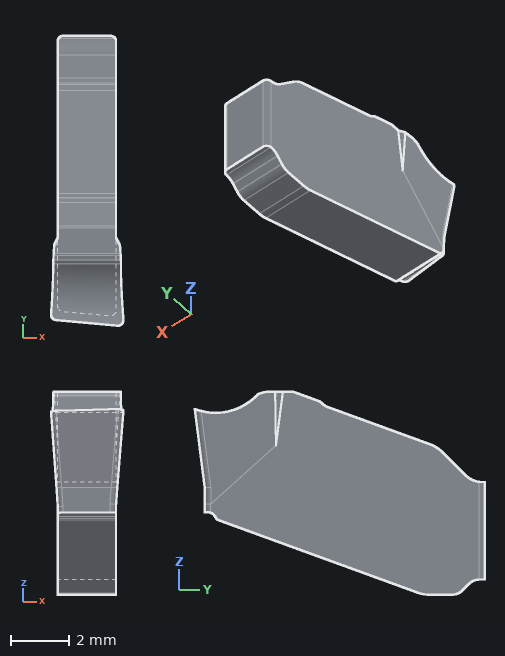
import cadquery as cq
import math


LENGTH = 10.0
HEIGHT = 7.0
BODY_WIDTH = 2.02
SPAN = 20.0

FLANK_SLOPE = 20.0
RAMP_SLOPE = 45.0
BLEND_SLOPE = 32.5
BACK_TOP_Z = 3.89
BACK_BOTTOM_Z = 0.52
BACK_CORNER_RADIUS = 0.2

FRONT_TURN = 5.0
FRONT_LEAN = 6.78
KNEE_Y = 0.415
KNEE_Z = 3.7
FRONT_CORNER_RADIUS = 0.2

FLARE_Y = 2.8
FLARE_Z = 5.15
LEFT_RELIEF_TILT = 45.0
LEFT_RELIEF_ANGLE = 5.25
RIGHT_RELIEF_TILT = 48.0
RIGHT_RELIEF_ANGLE = 5.55
SHOULDER_TILT = 7.4
SHOULDER_ANGLE = 27.0


def tan(degrees):
    return math.tan(math.radians(degrees))


def meet(point_a, slope_a, point_b, slope_b):
    """Crossing of two lines in the YZ plane; a slope is dz/dy."""
    y = (point_b[1] - point_a[1] + slope_a * point_a[0] - slope_b * point_b[0]) / (slope_a - slope_b)
    return y, point_a[1] + slope_a * (y - point_a[0])


def rounded_prism(corners):
    """Extrude, across X, a YZ polygon given as (point, corner radius) pairs."""
    sketch = cq.Workplane("YZ")
    for index, (corner, radius) in enumerate(corners):
        here = cq.Vector(*corner)
        if radius == 0:
            start = end = middle = here
        else:
            before = (cq.Vector(*corners[index - 1][0]) - here).normalized()
            after = (cq.Vector(*corners[(index + 1) % len(corners)][0]) - here).normalized()
            half_angle = before.getAngle(after) / 2
            setback = radius / math.tan(half_angle)
            to_arc = radius / math.sin(half_angle) - radius
            start = here + before * setback
            end = here + after * setback
            middle = here + (before + after).normalized() * to_arc
        if index == 0:
            sketch = sketch.moveTo(start.x, start.y)
        else:
            sketch = sketch.lineTo(start.x, start.y)
        if radius > 0:
            sketch = sketch.threePointArc((middle.x, middle.y), (end.x, end.y))
    return sketch.close().extrude(SPAN / 2, both=True)


def side_outline():
    """Prism with the full side outline; its front end runs past the front faces."""
    flank = tan(FLANK_SLOPE)
    ramp = tan(RAMP_SLOPE)
    front_y = -1.0

    ramp_foot_radius = 0.8
    blend_radius = 1.0
    ramp_foot = (9.57, BACK_TOP_Z)
    ramp_top_y = 8.463
    ramp_top = (ramp_top_y, BACK_TOP_Z + ramp * (ramp_foot[0] - ramp_top_y))
    blend_top_y = 8.22
    blend_top = (blend_top_y, ramp_top[1] + tan(BLEND_SLOPE) * (ramp_top_y - blend_top_y))

    step_radius = 0.4
    crest_back_radius = 0.2
    crest_back = (3.4, HEIGHT)
    step_foot_y = 4.485
    step_foot = (step_foot_y, blend_top[1] + flank * (blend_top_y - step_foot_y))
    step_top = meet(step_foot, -ramp, crest_back, -flank)

    bevel_slope = 15.0
    rake_slope = 21.0
    edge_z = 6.405
    crest_front_radius = 0.3
    bevel_end_radius = 0.25
    hollow_radius = 2.0
    crest_front = (2.455, HEIGHT)
    bevel_end_y = 2.2
    bevel_end = (bevel_end_y, HEIGHT - tan(bevel_slope) * (crest_front[0] - bevel_end_y))
    hollow = meet(bevel_end, ramp, (0.0, edge_z), -tan(rake_slope))
    edge = (front_y, edge_z - tan(rake_slope) * front_y)

    ledge_z = 2.84
    ledge_slope = 60.0
    ledge_end_radius = 0.28
    ledge_foot_radius = 0.15
    flat_front_radius = 1.0
    lower_ramp_radius = 0.5
    ledge_end = (0.62, ledge_z)
    flat_front = (7.88, 0.0)
    ledge_foot = meet(ledge_end, -tan(ledge_slope), flat_front, -flank)
    lower_ramp_top = (9.6, BACK_BOTTOM_Z)
    flat_back = (lower_ramp_top[0] - BACK_BOTTOM_Z / ramp, 0.0)

    return rounded_prism([
        ((LENGTH, BACK_TOP_Z), 0),
        (ramp_foot, ramp_foot_radius),
        (ramp_top, blend_radius),
        (blend_top, blend_radius),
        (step_foot, step_radius),
        (step_top, step_radius),
        (crest_back, crest_back_radius),
        (crest_front, crest_front_radius),
        (bevel_end, bevel_end_radius),
        (hollow, hollow_radius),
        (edge, 0),
        ((front_y, ledge_z), 0),
        (ledge_end, ledge_end_radius),
        (ledge_foot, ledge_foot_radius),
        (flat_front, flat_front_radius),
        (flat_back, lower_ramp_radius),
        (lower_ramp_top, lower_ramp_radius),
        ((LENGTH, BACK_BOTTOM_Z), 0),
    ])


def body_slab():
    """Parallel-sided slab with its upright back edges rounded."""
    return (
        cq.Workplane("XY")
        .box(BODY_WIDTH, SPAN, SPAN)
        .translate((0, LENGTH - SPAN / 2, 0))
        .edges("|Z and >Y")
        .fillet(BACK_CORNER_RADIUS)
    )


def flare_block(side, edge_tilt, flare_angle):
    """Block with one sloping face that leaves the body side at the flare point.

    side is -1 or +1 for the sign of X; the block reaches past the body on the other side.
    """
    tilt = math.radians(edge_tilt)
    plane = cq.Plane(
        origin=(0, FLARE_Y, FLARE_Z),
        xDir=(1, 0, 0),
        normal=(0, math.sin(tilt), math.cos(tilt)),
    )
    front = -SPAN / 2
    back = 1.0
    far_side = -side * SPAN / 2
    x_front = side * (BODY_WIDTH / 2 - front * tan(flare_angle))
    x_back = side * (BODY_WIDTH / 2 - back * tan(flare_angle))
    return (
        cq.Workplane(plane)
        .polyline([(far_side, back), (x_back, back), (x_front, front), (far_side, front)])
        .close()
        .extrude(SPAN / 2, both=True)
    )


def front_trim():
    """Prism bounded in front by the upright face and the leaning face above it."""
    reach_up = SPAN / 2
    top_y = KNEE_Y - reach_up * tan(FRONT_LEAN)
    prism = rounded_prism([
        ((KNEE_Y, -SPAN), 0),
        ((KNEE_Y, KNEE_Z), 0),
        ((top_y, KNEE_Z + reach_up), 0),
        ((SPAN, KNEE_Z + reach_up), 0),
        ((SPAN, -SPAN), 0),
    ])
    return prism.rotate((0, KNEE_Y, 0), (0, KNEE_Y, 1), -FRONT_TURN)


def with_front(stock):
    """Cut the stock off at the front faces and round the two corners beside them."""
    trimmed = stock.intersect(front_trim())
    reach = SPAN
    inner = 0.5
    behind = 1.0
    left = cq.selectors.BoxSelector((-reach, -reach, -reach), (-inner, behind, reach))
    right = cq.selectors.BoxSelector((inner, -reach, -reach), (reach, behind, reach))
    return trimmed.edges(left + right).fillet(FRONT_CORNER_RADIUS)


def flared_head():
    """Head bounded on each side by a relief face and a shoulder face."""
    left = flare_block(-1, LEFT_RELIEF_TILT, LEFT_RELIEF_ANGLE)
    left = left.intersect(flare_block(-1, SHOULDER_TILT, SHOULDER_ANGLE))
    right = flare_block(1, RIGHT_RELIEF_TILT, RIGHT_RELIEF_ANGLE)
    right = right.intersect(flare_block(1, SHOULDER_TILT, SHOULDER_ANGLE))
    return left.intersect(right)


blank = with_front(body_slab()).union(with_front(flared_head()))
result = blank.intersect(side_outline())